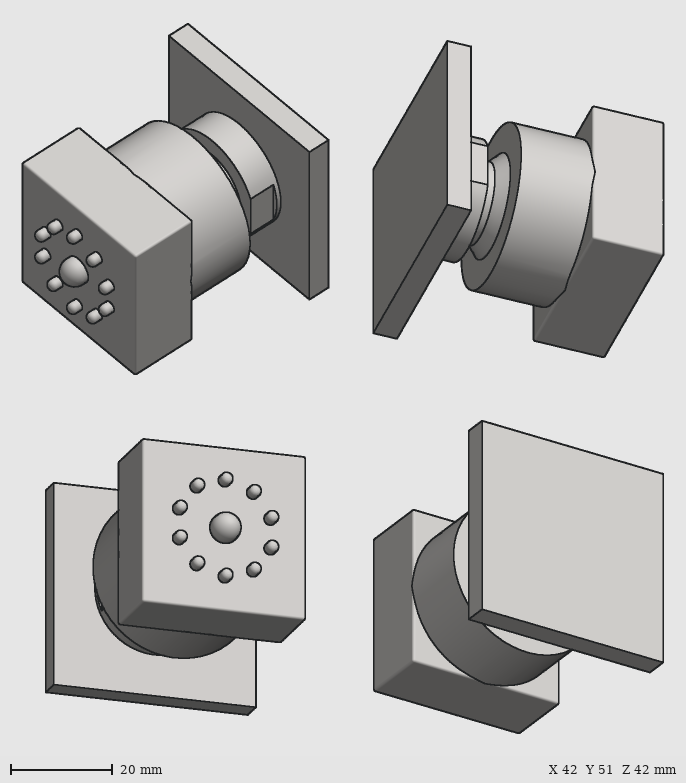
import cadquery as cq
import math

overall_length = 51.0

plate_side = 42.0
plate_thickness = 5.0

collar_diameter = 25.0
collar_length = 7.05
flat_spacing = 22.95
flat_shoulder = 1.05

neck_diameter = 17.0
neck_length = 2.6
cone_length = 2.35

head_side = 34.0
body_length = 15.0
edge_radius = 0.5

pin_count = 10
pin_diameter = 2.5
pin_length = 2.5
pin_nose_radius = 1.0
pin_circle_diameter = 20.0

ball_radius = 3.0
ball_base_length = 0.95

collar_start = plate_thickness
neck_start = collar_start + collar_length
cone_start = neck_start + neck_length
body_start = cone_start + cone_length
head_start = body_start + body_length
head_face = overall_length - ball_radius - ball_base_length
head_length = head_face - head_start


def plane_at(distance):
    """Workplane facing -Y, at a distance in front of the plate back."""
    return cq.Workplane("XZ", origin=(0, -distance, 0))


def disc(start, diameter, length):
    return plane_at(start).circle(diameter / 2).extrude(length)


def make_collar():
    collar = disc(collar_start, collar_diameter, collar_length)
    flats_start = collar_start + flat_shoulder
    flats_length = collar_length - flat_shoulder
    cut_depth = (collar_diameter - flat_spacing) / 2
    for side in (-1, 1):
        cut_center = side * (flat_spacing + cut_depth) / 2
        cutter = (
            plane_at(flats_start)
            .center(cut_center, 0)
            .rect(cut_depth, collar_diameter)
            .extrude(flats_length)
        )
        collar = collar.cut(cutter)
    return collar


def make_cone():
    neck_radius = neck_diameter / 2
    profile = [
        (0, -cone_start),
        (neck_radius, -cone_start),
        (neck_radius + cone_length, -body_start),
        (0, -body_start),
    ]
    return cq.Workplane("XY").polyline(profile).close().revolve(360, (0, 0), (0, 1))


def make_head():
    """Square block with every edge rounded."""
    block = plane_at(head_start).rect(head_side, head_side).extrude(head_length)
    return block.edges().fillet(edge_radius)


def make_pin(angle):
    ring_radius = pin_circle_diameter / 2
    return (
        plane_at(head_face)
        .center(ring_radius * math.sin(angle), ring_radius * math.cos(angle))
        .circle(pin_diameter / 2)
        .extrude(pin_length)
        .faces("<Y")
        .edges()
        .fillet(pin_nose_radius)
    )


def make_ball():
    base = disc(head_face, 2 * ball_radius, ball_base_length)
    dome = plane_at(head_face + ball_base_length).sphere(ball_radius)
    return base.union(dome)


plate = plane_at(0).rect(plate_side, plate_side).extrude(plate_thickness)
neck = disc(neck_start, neck_diameter, neck_length)
body = disc(body_start, head_side, body_length + edge_radius)

result = plate.union(make_collar()).union(neck).union(make_cone()).union(body).union(make_head())
for index in range(pin_count):
    result = result.union(make_pin(2 * math.pi * index / pin_count))
result = result.union(make_ball())